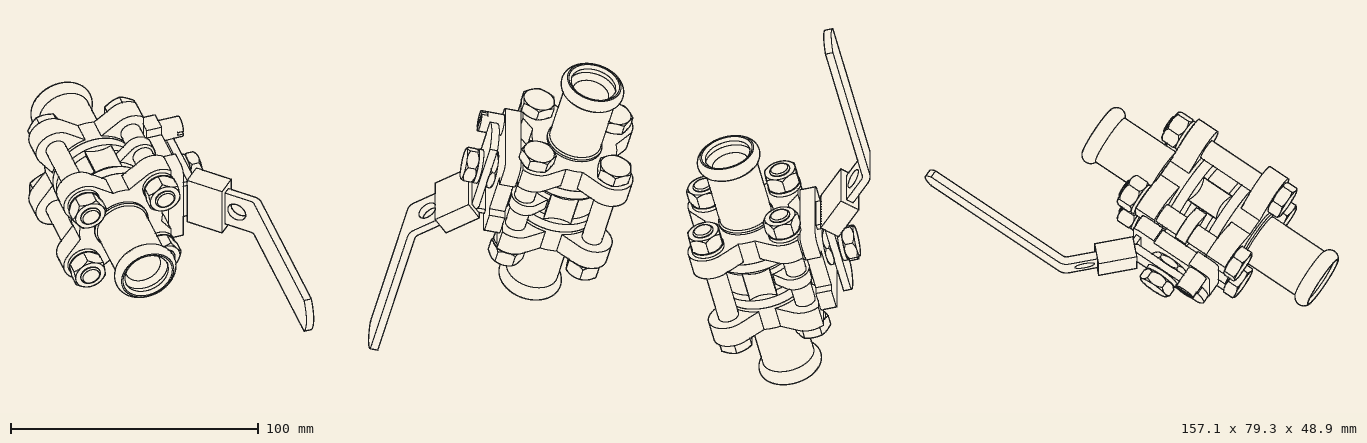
import cadquery as cq
import math

OVERALL_LENGTH = 157.1
OVERALL_DEPTH = 79.3
OVERALL_HEIGHT = 48.9
BORE_D = 15.0

END_X = 55.1
PIPE_D = 21.4
BEAD_D = 26.0
BEAD_WIDTH = 6.3
BEAD_FACE_D = 22.3
MOUTH_D = 18.5
MOUTH_CHAMFER = 1.3
MOUTH_GROOVE_D = 19.8
MOUTH_GROOVE_DEPTH = 3.8
MOUTH_CONE_DEPTH = 5.8
NECK_D = 22.8
NECK_X = 22.8

FLANGE_IN_X = 12.7
FLANGE_OUT_X = 21.8
FLANGE_D = 35.3
LOBE_R = 8.5
LOBE_TAPER_DEG = 9.0
FLANGE_TOP_Y = 21.4

BOLT_OFFSET = OVERALL_HEIGHT / 2 - LOBE_R
BOLT_D = 8.3
BOLT_END_X = 31.3
BOLT_END_CHAMFER = 0.6
HEX_AF = 12.5
HEX_CHAMFER = 0.5
NUT_CHAMFER = 1.0
NUT_TURN_DEG = 7.0
HEAD_HEIGHT = 5.3
WASHER_D = 13.4
WASHER_THICK = 1.5
NUT_HEIGHT = 6.9

BODY_HALF = 11.3
BODY_D = 35.5
WAIST_D = 33.0
WAIST_HALF = 5.2
WAIST_CONE_X = 7.0
FLAT_HALF_WIDTH = 5.7
FLAT_Z = 16.7
LUG_THICK = 5.0
LUG_R = 6.0
LUG_Y = 15.2

PAD_TOP_Y = 27.8
PAD_SIDE = 37.2
PAD_CORNER_R = 3.1
PAD_NOTCH_WIDTH = 17.1
PAD_NOTCH_Z = 14.6
STEM_BOSS_D = 19.2
GLAND_NUT_AF = 14.3
STEM_WASHER_D = 13.8
STEM_WASHER_THICK = 1.7
STEM_NUT_HEIGHT = 4.9
STOP_PIN_D = 8.5
STOP_PIN_OFFSET = 12.9
STOP_PIN_TOP_Y = 37.2
STOP_SLOT_WIDTH = 1.4
STOP_SLOT_DEPTH = 2.5

LEVER_THICK = 3.1
LEVER_MITRE = LEVER_THICK * math.tan(math.radians(22.5))
LEVER_WIDTH = 16.7
LEVER_START_X = -20.1
LEVER_LOW_Y = 30.8
LEVER_TOP_Y = OVERALL_DEPTH - OVERALL_HEIGHT / 2
LEVER_END_X = OVERALL_LENGTH - END_X
LEVER_END_R = 13.0
LEVER_KNEE_X = 13.4
LEVER_BEND_R = 5.7
LEVER_HOLE_D = 8.0
LEVER_HOLE_Y = 47.6

SLEEVE_LENGTH = 15.7
SLEEVE_THICK = 8.5
SLEEVE_WIDTH = 22.3
SLEEVE_CENTER_Y = 38.3
TAB_X = 15.0
TAB_THICK = 2.2
TAB_WIDTH = 16.3


def x_cylinder(diameter, x0, x1, y=0.0, z=0.0):
    """Cylinder along X from x0 to x1."""
    return cq.Workplane("YZ", origin=(x0, y, z)).circle(diameter / 2).extrude(x1 - x0)


def y_cylinder(diameter, y0, y1, x=0.0, z=0.0):
    """Cylinder along +Y from y0 to y1."""
    return cq.Workplane("XZ", origin=(x, y0, z)).circle(diameter / 2).extrude(y0 - y1)


def box_between(x0, x1, y0, y1, z0, z1):
    """Box from its lower to its upper limit on each axis."""
    return cq.Workplane("XY").box(x1 - x0, y1 - y0, z1 - z0, centered=False).translate((x0, y0, z0))


def hexagon(across_flats, height, chamfer, turn_deg=0.0):
    """Hexagon along +Z from the origin with its corners turned down at both ends."""
    across_corners = across_flats / math.cos(math.radians(30))
    prism = cq.Workplane("XY").polygon(6, across_corners).extrude(height)
    blank = cq.Workplane("XY").circle(across_corners / 2).extrude(height)
    blank = blank.faces("<Z or >Z").chamfer(chamfer, (across_corners - across_flats) / 2)
    return prism.intersect(blank).rotate((0, 0, 0), (0, 0, 1), turn_deg)


def x_hexagon(height, chamfer, turn_deg, x0, y, z):
    """Bolt-sized hexagon along +X from x0."""
    blank = hexagon(HEX_AF, height, chamfer, turn_deg)
    return blank.rotate((0, 0, 0), (0, 1, 0), 90).translate((x0, y, z))


def y_hexagon(across_flats, height, y0):
    """Nut on the stem, along +Y from y0."""
    return hexagon(across_flats, height, NUT_CHAMFER).rotate((0, 0, 0), (1, 0, 0), -90).translate((0, y0, 0))


def pipe_end():
    """Left pipe with its press bead, revolved about X."""
    pipe_r = PIPE_D / 2
    neck_r = NECK_D / 2
    return (
        cq.Workplane("XY")
        .moveTo(-END_X, 0)
        .lineTo(-END_X, BEAD_FACE_D / 2)
        .threePointArc((-END_X + BEAD_WIDTH / 2, BEAD_D / 2), (-END_X + BEAD_WIDTH, pipe_r))
        .lineTo(-NECK_X - (neck_r - pipe_r), pipe_r)
        .lineTo(-NECK_X, neck_r)
        .lineTo(-FLANGE_OUT_X, neck_r)
        .lineTo(-FLANGE_OUT_X, 0)
        .close()
        .revolve(360, (0, 0, 0), (1, 0, 0))
    )


def pipe_mouth():
    """Cutter for the left opening: chamfer, flared socket and cone down to the bore."""
    mouth_r = MOUTH_D / 2
    return (
        cq.Workplane("XY")
        .moveTo(-END_X, 0)
        .lineTo(-END_X, mouth_r + MOUTH_CHAMFER)
        .lineTo(-END_X + MOUTH_CHAMFER, mouth_r)
        .lineTo(-END_X + MOUTH_GROOVE_DEPTH, MOUTH_GROOVE_D / 2)
        .lineTo(-END_X + MOUTH_CONE_DEPTH, BORE_D / 2)
        .lineTo(-END_X + MOUTH_CONE_DEPTH, 0)
        .close()
        .revolve(360, (0, 0, 0), (1, 0, 0))
    )


def flange():
    """Left flange: a disc with four lobes that taper towards the bolts."""
    thick = FLANGE_OUT_X - FLANGE_IN_X
    taper = math.radians(LOBE_TAPER_DEG)
    reach = BOLT_OFFSET * math.sqrt(2)
    tangent_u = reach + LOBE_R * math.sin(taper)
    tangent_v = LOBE_R * math.cos(taper)
    root_v = tangent_v + tangent_u * math.tan(taper)
    plate = cq.Workplane("YZ").circle(FLANGE_D / 2).extrude(thick)
    lobe = (
        cq.Workplane("YZ")
        .moveTo(0, -root_v)
        .lineTo(tangent_u, -tangent_v)
        .threePointArc((reach + LOBE_R, 0), (tangent_u, tangent_v))
        .lineTo(0, root_v)
        .close()
        .extrude(thick)
    )
    size = 2 * BOLT_OFFSET
    quadrant = cq.Workplane("YZ").rect(size, size, centered=False).extrude(thick)
    for i in range(4):
        turned = lobe.rotate((0, 0, 0), (1, 0, 0), 45 + 90 * i)
        plate = plate.union(turned.intersect(quadrant.rotate((0, 0, 0), (1, 0, 0), 90 * i)))
    above = box_between(0, thick, FLANGE_TOP_Y, size, -size, size)
    return plate.cut(above).translate((-FLANGE_OUT_X, 0, 0))


def clamp_bolt(y, z):
    """Bolt along X; diagonal pairs share the same head direction."""
    head_turn = 0 if y * z > 0 else 30
    nut_x = FLANGE_OUT_X + WASHER_THICK
    shank = x_cylinder(BOLT_D, -FLANGE_OUT_X, BOLT_END_X, y, z).faces(">X").chamfer(BOLT_END_CHAMFER)
    head = x_hexagon(HEAD_HEIGHT, HEX_CHAMFER, head_turn, -FLANGE_OUT_X - HEAD_HEIGHT, y, z)
    washer = x_cylinder(WASHER_D, FLANGE_OUT_X, nut_x, y, z)
    nut = x_hexagon(NUT_HEIGHT, NUT_CHAMFER, head_turn + NUT_TURN_DEG, nut_x, y, z)
    return shank.union(head).union(washer).union(nut)


def body():
    """Waisted round body between the flanges, with flats and lugs on both Z sides."""
    half = (
        cq.Workplane("XY")
        .lineTo(0, WAIST_D / 2)
        .lineTo(WAIST_HALF, WAIST_D / 2)
        .lineTo(WAIST_CONE_X, BODY_D / 2)
        .lineTo(BODY_HALF, BODY_D / 2)
        .lineTo(BODY_HALF, FLANGE_D / 2)
        .lineTo(FLANGE_IN_X, FLANGE_D / 2)
        .lineTo(FLANGE_IN_X, 0)
        .close()
        .revolve(360, (0, 0, 0), (1, 0, 0))
    )
    solid = half.union(half.mirror("YZ"))
    solid = solid.union(
        box_between(-WAIST_CONE_X, WAIST_CONE_X, -FLAT_HALF_WIDTH, FLAT_HALF_WIDTH, -FLAT_Z, FLAT_Z)
    )
    solid = solid.union(lug()).union(lug().mirror("XY"))
    return solid.union(y_cylinder(STEM_BOSS_D, 0, FLANGE_TOP_Y))


def lug():
    """Rib round the upper bolt; a 45 degree face runs from its round top down to the body."""
    diagonal = LUG_R / math.sqrt(2)
    tangent = (LUG_Y - diagonal, BOLT_OFFSET + diagonal)
    drop = tangent[0] - FLAT_HALF_WIDTH
    return (
        cq.Workplane("YZ", origin=(-LUG_THICK / 2, 0, 0))
        .moveTo(FLAT_HALF_WIDTH, 0)
        .lineTo(FLAT_HALF_WIDTH, tangent[1] - drop)
        .lineTo(*tangent)
        .threePointArc((LUG_Y, BOLT_OFFSET + LUG_R), (LUG_Y + LUG_R, BOLT_OFFSET))
        .lineTo(FLANGE_TOP_Y, BOLT_OFFSET)
        .lineTo(FLANGE_TOP_Y, 0)
        .close()
        .extrude(LUG_THICK)
    )


def mounting_pad():
    """Square pad with a notch in the middle of both Z edges."""
    half = PAD_SIDE / 2
    pad = box_between(-half, half, FLANGE_TOP_Y, PAD_TOP_Y, -half, half)
    pad = pad.edges("|Y").fillet(PAD_CORNER_R)
    notch_half = PAD_NOTCH_WIDTH / 2
    notch = box_between(-notch_half, notch_half, FLANGE_TOP_Y, PAD_TOP_Y, PAD_NOTCH_Z, PAD_SIDE)
    return pad.cut(notch).cut(notch.mirror("XY"))


def stem():
    """Gland nut under the lever, then a washer and nut above it."""
    lever_top = LEVER_LOW_Y + LEVER_THICK
    nut_y = lever_top + STEM_WASHER_THICK
    gland = y_hexagon(GLAND_NUT_AF, LEVER_LOW_Y - PAD_TOP_Y, PAD_TOP_Y)
    washer = y_cylinder(STEM_WASHER_D, lever_top, nut_y)
    return gland.union(washer).union(y_hexagon(HEX_AF, STEM_NUT_HEIGHT, nut_y))


def stop_pin():
    """Upright pin on the pad with a slot across its top."""
    pin = y_cylinder(STOP_PIN_D, PAD_TOP_Y, STOP_PIN_TOP_Y, -STOP_PIN_OFFSET, STOP_PIN_OFFSET)
    slot = cq.Workplane("XY").box(2 * STOP_PIN_D, 2 * STOP_SLOT_DEPTH, STOP_SLOT_WIDTH)
    return pin.cut(slot.translate((-STOP_PIN_OFFSET, STOP_PIN_TOP_Y, STOP_PIN_OFFSET)))


def lever():
    """Strip from the stem up the slope to the flat grip, with a hole through the slope."""
    low_top = LEVER_LOW_Y + LEVER_THICK
    bend_x = LEVER_KNEE_X + LEVER_TOP_Y - low_top
    strip = (
        cq.Workplane("XY", origin=(0, 0, -LEVER_WIDTH / 2))
        .moveTo(LEVER_START_X, LEVER_LOW_Y)
        .lineTo(LEVER_KNEE_X + LEVER_MITRE, LEVER_LOW_Y)
        .lineTo(bend_x + LEVER_MITRE, LEVER_TOP_Y - LEVER_THICK)
        .lineTo(LEVER_END_X, LEVER_TOP_Y - LEVER_THICK)
        .lineTo(LEVER_END_X, LEVER_TOP_Y)
        .lineTo(bend_x, LEVER_TOP_Y)
        .lineTo(LEVER_KNEE_X, low_top)
        .lineTo(LEVER_START_X, low_top)
        .close()
        .extrude(LEVER_WIDTH)
    )
    outer_bend = cq.selectors.NearestToPointSelector((bend_x, LEVER_TOP_Y, 0))
    inner_bend = cq.selectors.NearestToPointSelector((bend_x + LEVER_MITRE, LEVER_TOP_Y - LEVER_THICK, 0))
    strip = strip.edges(outer_bend).fillet(LEVER_BEND_R)
    strip = strip.edges(inner_bend).fillet(LEVER_BEND_R - LEVER_THICK)

    half = LEVER_WIDTH / 2
    sagitta = LEVER_END_R - math.sqrt(LEVER_END_R**2 - half**2)
    outline = (
        cq.Workplane("XZ")
        .moveTo(LEVER_START_X + sagitta, -half)
        .lineTo(LEVER_END_X - sagitta, -half)
        .threePointArc((LEVER_END_X, 0), (LEVER_END_X - sagitta, half))
        .lineTo(LEVER_START_X + sagitta, half)
        .threePointArc((LEVER_START_X, 0), (LEVER_START_X + sagitta, -half))
        .close()
        .extrude(-2 * LEVER_TOP_Y)
    )
    hole_x = slope_x(LEVER_HOLE_Y)
    hole = cq.Workplane("XZ").circle(LEVER_HOLE_D / 2).extrude(2 * LEVER_THICK, both=True)
    hole = hole.rotate((0, 0, 0), (0, 0, 1), 45).translate((hole_x, LEVER_HOLE_Y, 0))
    return strip.intersect(outline).cut(hole)


def slope_x(y):
    """X of the middle of the sloping strip at height y."""
    return LEVER_KNEE_X + LEVER_MITRE / 2 + y - (LEVER_LOW_Y + LEVER_THICK / 2)


def locking_sleeve():
    """Sleeve round the slope with a tab that reaches down to the pad."""
    block = cq.Workplane("XY").box(SLEEVE_LENGTH, SLEEVE_THICK, SLEEVE_WIDTH)
    block = block.rotate((0, 0, 0), (0, 0, 1), 45)
    block = block.translate((slope_x(SLEEVE_CENTER_Y), SLEEVE_CENTER_Y, 0))
    half = TAB_WIDTH / 2
    tab = box_between(TAB_X, TAB_X + TAB_THICK, PAD_TOP_Y, LEVER_LOW_Y + LEVER_THICK / 2, -half, half)
    return block.union(tab)


valve = body()
for left in (pipe_end(), flange()):
    valve = valve.union(left).union(left.mirror("YZ"))
for y in (-BOLT_OFFSET, BOLT_OFFSET):
    for z in (-BOLT_OFFSET, BOLT_OFFSET):
        valve = valve.union(clamp_bolt(y, z))
for part in (mounting_pad(), stem(), stop_pin(), lever(), locking_sleeve()):
    valve = valve.union(part)
valve = valve.cut(x_cylinder(BORE_D, -END_X, END_X))
for mouth in (pipe_mouth(), pipe_mouth().mirror("YZ")):
    valve = valve.cut(mouth)

result = valve